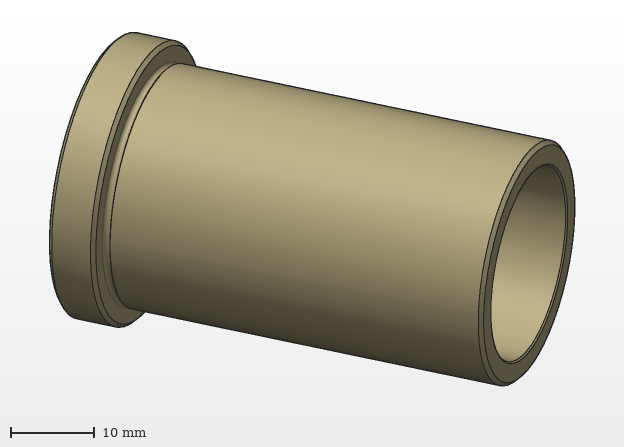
import cadquery as cq

length = 55.0
flange_diameter = 35.0
flange_width = 6.0
body_diameter = 30.0
bore_diameter = 24.0
edge_chamfer = 0.5
bore_chamfer = 0.2
groove_width = 1.0

flange_radius = flange_diameter / 2
body_radius = body_diameter / 2
bore_radius = bore_diameter / 2
groove_radius = groove_width / 2
groove_middle = flange_width + groove_radius
groove_end = flange_width + groove_width

section = (
    cq.Workplane("XY")
    .moveTo(0, bore_radius + bore_chamfer)
    .lineTo(0, flange_radius - edge_chamfer)
    .lineTo(edge_chamfer, flange_radius)
    .lineTo(flange_width - edge_chamfer, flange_radius)
    .lineTo(flange_width, flange_radius - edge_chamfer)
    .lineTo(flange_width, body_radius)
    .threePointArc((groove_middle, body_radius - groove_radius), (groove_end, body_radius))
    .lineTo(length - edge_chamfer, body_radius)
    .lineTo(length, body_radius - edge_chamfer)
    .lineTo(length, bore_radius + bore_chamfer)
    .lineTo(length - bore_chamfer, bore_radius)
    .lineTo(bore_chamfer, bore_radius)
    .close()
)

result = section.revolve(360, (0, 0, 0), (1, 0, 0))